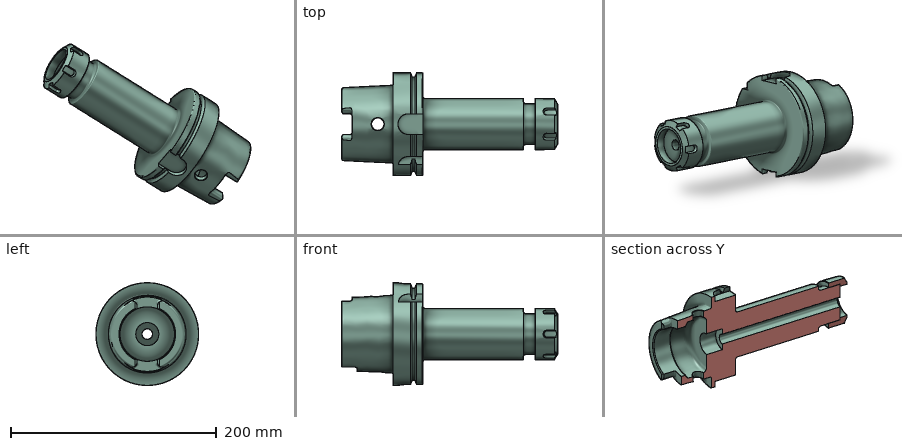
import cadquery as cq
import math

total_length = 210.0
flange_face = 50.0
flange_end = 79.0
shank_end = 176.6
nut_start = 187.7
neck_end = 201.5

taper_tip_radius = 35.5
taper_base_radius = 37.8
taper_end = 47.7
tip_round = 2.0
root_fillet = 1.0

mouth_diameter = 53.0
mouth_chamfer = 1.0
mouth_length = 19.7
undercut_diameter = 61.3
undercut_slope_length = 3.0
cavity_floor_diameter = 50.0
cavity_depth = 44.5
coolant_bore_diameter = 22.5
coolant_bore_depth = 63.0
through_bore_diameter = 10.0

access_hole_diameter = 12.0
access_hole_x = 35.0
access_hole_chamfer = 0.5

slot_width = 20.0
slot_shoulder_height = 32.1
slot_shoulder_radius = 4.6
slot_floor_fillet = 2.0
slot_depth_above = 10.0
slot_depth_below = 15.0
slot_tip_bevel_width = 1.9
slot_tip_bevel_length = 1.5

flange_diameter = 100.0
flange_edge_round = 1.0
groove_floor_radius = 46.0
groove_left = 66.8
groove_right = 72.9
groove_bevel_width = 1.0
groove_bevel_depth = 2.0
groove_floor_inset = 1.7

keyway_center_x = 64.7
keyway_floor_height = 44.0
notch_floor_height = 31.0
notch_wall_y = -31.5

shank_diameter = 50.0
shank_end_round = 0.6
shank_root_fillet = 2.3
neck_diameter = 40.0
neck_root_fillet = 2.0

nut_diameter = 50.0
nut_rear_chamfer = 0.5
nut_cone_start = 206.6
nut_face_diameter = 38.6
nut_mouth_diameter = 33.8
wrench_slot_count = 6
wrench_slot_start = 195.7
wrench_slot_width = 7.8
wrench_slot_floor_radius = 21.8
wrench_slot_draft = 16.0

flange_radius = flange_diameter / 2
shank_radius = shank_diameter / 2
neck_radius = neck_diameter / 2
mouth_radius = mouth_diameter / 2
nut_radius = nut_diameter / 2


def revolve_about_x(profile):
    return profile.close().revolve(360, (0, 0, 0), (1, 0, 0))


def cylinder_along_x(diameter, start, end):
    return cq.Workplane("YZ", origin=(start, 0, 0)).circle(diameter / 2).extrude(end - start)


def round_corner(profile, start, end, center):
    """Add a quarter round from start to end about the given center."""
    radius = math.dist(start, center)
    half_x = (start[0] + end[0]) / 2 - center[0]
    half_r = (start[1] + end[1]) / 2 - center[1]
    stretch = radius / math.hypot(half_x, half_r)
    middle = (center[0] + half_x * stretch, center[1] + half_r * stretch)
    return profile.lineTo(*start).threePointArc(middle, end)


def taper_blank():
    body = revolve_about_x(
        cq.Workplane("XY")
        .moveTo(0, 0)
        .lineTo(0, taper_tip_radius)
        .lineTo(taper_end, taper_base_radius)
        .lineTo(flange_face, taper_base_radius)
        .lineTo(flange_face, 0)
    )
    return body.faces("<X").edges().fillet(tip_round)


def flange_blank():
    bevel_radius = flange_radius - groove_bevel_depth
    root_start = flange_face - root_fillet
    root_radius = taper_base_radius + root_fillet
    profile = cq.Workplane("XY").moveTo(root_start, 0)
    profile = round_corner(
        profile,
        start=(root_start, taper_base_radius),
        end=(flange_face, root_radius),
        center=(root_start, root_radius),
    )
    profile = (
        profile
        .lineTo(flange_face, flange_radius)
        .lineTo(groove_left, flange_radius)
        .lineTo(groove_left + groove_bevel_width, bevel_radius)
        .lineTo(groove_left + groove_floor_inset, groove_floor_radius)
        .lineTo(groove_right - groove_floor_inset, groove_floor_radius)
        .lineTo(groove_right - groove_bevel_width, bevel_radius)
        .lineTo(groove_right, flange_radius)
    )
    edge_start = flange_end - flange_edge_round
    edge_radius = flange_radius - flange_edge_round
    profile = round_corner(
        profile,
        start=(edge_start, flange_radius),
        end=(flange_end, edge_radius),
        center=(edge_start, edge_radius),
    )
    return revolve_about_x(profile.lineTo(flange_end, 0))


def shank_blank():
    root_end = flange_end + shank_root_fillet
    root_radius = shank_radius + shank_root_fillet
    profile = cq.Workplane("XY").moveTo(flange_end, 0)
    profile = round_corner(
        profile,
        start=(flange_end, root_radius),
        end=(root_end, shank_radius),
        center=(root_end, root_radius),
    )
    round_start = shank_end - shank_end_round
    round_radius = shank_radius - shank_end_round
    profile = round_corner(
        profile,
        start=(round_start, shank_radius),
        end=(shank_end, round_radius),
        center=(round_start, round_radius),
    )
    neck_start = shank_end + neck_root_fillet
    neck_root_radius = neck_radius + neck_root_fillet
    profile = round_corner(
        profile,
        start=(shank_end, neck_root_radius),
        end=(neck_start, neck_radius),
        center=(neck_start, neck_root_radius),
    )
    return revolve_about_x(profile.lineTo(neck_end, neck_radius).lineTo(neck_end, 0))


def cavity_cutter():
    undercut_radius = undercut_diameter / 2
    floor_radius = cavity_floor_diameter / 2
    floor_round_start = cavity_depth - (undercut_radius - floor_radius)
    profile = (
        cq.Workplane("XY")
        .moveTo(0, 0)
        .lineTo(0, mouth_radius + mouth_chamfer)
        .lineTo(mouth_chamfer, mouth_radius)
        .lineTo(mouth_length, mouth_radius)
        .lineTo(mouth_length + undercut_slope_length, undercut_radius)
    )
    profile = round_corner(
        profile,
        start=(floor_round_start, undercut_radius),
        end=(cavity_depth, floor_radius),
        center=(floor_round_start, floor_radius),
    )
    cavity = revolve_about_x(profile.lineTo(cavity_depth, 0))
    coolant_bore = cylinder_along_x(coolant_bore_diameter, 0, coolant_bore_depth)
    through_bore = cylinder_along_x(through_bore_diameter, 0, total_length)
    return cavity.union(coolant_bore).union(through_bore)


def cut_access_hole(body):
    """Drill through both walls of the taper along Z and chamfer the two outer rims."""
    drill = (
        cq.Workplane("XY", origin=(access_hole_x, 0, -flange_radius))
        .circle(access_hole_diameter / 2)
        .extrude(flange_diameter)
    )
    body = body.cut(drill)
    half_box = access_hole_diameter / 4
    wall_inside = undercut_diameter / 2
    upper_rim = cq.selectors.BoxSelector(
        (access_hole_x - half_box, -half_box, wall_inside + access_hole_chamfer),
        (access_hole_x + half_box, half_box, flange_radius),
    )
    lower_rim = cq.selectors.BoxSelector(
        (access_hole_x - half_box, -half_box, -flange_radius),
        (access_hole_x + half_box, half_box, -wall_inside - access_hole_chamfer),
    )
    return body.edges(upper_rim + lower_rim).chamfer(access_hole_chamfer)


def drive_slot_cutter(depth):
    """Slot on the +Z side: straight walls that round over into flat shoulders, and a filleted floor."""
    half_width = slot_width / 2
    shoulder_start = half_width + slot_shoulder_radius
    wall_top = slot_shoulder_height - slot_shoulder_radius
    arc_offset = slot_shoulder_radius * (1 - math.sqrt(0.5))
    arc_y = half_width + arc_offset
    arc_z = slot_shoulder_height - arc_offset
    bottom = mouth_radius / 2
    slot = (
        cq.Workplane("YZ")
        .moveTo(-half_width, bottom)
        .lineTo(half_width, bottom)
        .lineTo(half_width, wall_top)
        .threePointArc((arc_y, arc_z), (shoulder_start, slot_shoulder_height))
        .lineTo(flange_radius, slot_shoulder_height)
        .lineTo(flange_radius, flange_radius)
        .lineTo(-flange_radius, flange_radius)
        .lineTo(-flange_radius, slot_shoulder_height)
        .lineTo(-shoulder_start, slot_shoulder_height)
        .threePointArc((-arc_y, arc_z), (-half_width, wall_top))
        .close()
        .extrude(depth)
        .faces(">X").edges().fillet(slot_floor_fillet)
    )
    bevel = (
        cq.Workplane("XY", origin=(0, 0, bottom))
        .moveTo(0, -half_width - slot_tip_bevel_width)
        .lineTo(0, half_width + slot_tip_bevel_width)
        .lineTo(slot_tip_bevel_length, half_width)
        .lineTo(slot_tip_bevel_length, -half_width)
        .close()
        .extrude(slot_shoulder_height - bottom)
    )
    return slot.union(bevel)


def round_ended_cutter(center_y, floor_height):
    """Cutter of the keyway width, round at its -X end and running out through the flange end."""
    length = flange_end - keyway_center_x
    base = cq.Workplane("XY", origin=(keyway_center_x, center_y, floor_height))
    height = flange_radius - floor_height
    round_end = base.circle(slot_width / 2).extrude(height)
    straight = base.center(length / 2, 0).rect(length, slot_width).extrude(height)
    return round_end.union(straight)


def make_holder():
    holder = taper_blank().union(flange_blank()).union(shank_blank())
    holder = cut_access_hole(holder.cut(cavity_cutter()))

    holder = holder.cut(drive_slot_cutter(slot_depth_above))
    holder = holder.cut(drive_slot_cutter(slot_depth_below).rotate((0, 0, 0), (1, 0, 0), 180))

    keyway = round_ended_cutter(0, keyway_floor_height)
    holder = holder.cut(keyway).cut(keyway.rotate((0, 0, 0), (1, 0, 0), 180))
    return holder.cut(round_ended_cutter(notch_wall_y - slot_width / 2, notch_floor_height))


def wrench_slot_cutter(angle):
    """Drafted slot, round at its -X end, turned about X from the -Y side."""
    depth = nut_radius - wrench_slot_floor_radius
    length = total_length - wrench_slot_start + wrench_slot_width
    return (
        cq.Workplane("XZ", origin=(wrench_slot_start + length / 2, -nut_radius, 0))
        .slot2D(length, wrench_slot_width)
        .extrude(-depth, taper=wrench_slot_draft)
        .rotate((0, 0, 0), (1, 0, 0), angle)
    )


def make_nut():
    nut = revolve_about_x(
        cq.Workplane("XY")
        .moveTo(nut_start, neck_radius)
        .lineTo(nut_start, nut_radius - nut_rear_chamfer)
        .lineTo(nut_start + nut_rear_chamfer, nut_radius)
        .lineTo(nut_cone_start, nut_radius)
        .lineTo(total_length, nut_face_diameter / 2)
        .lineTo(total_length, nut_mouth_diameter / 2)
        .lineTo(neck_end, nut_mouth_diameter / 2)
        .lineTo(neck_end, neck_radius)
    )
    for index in range(wrench_slot_count):
        nut = nut.cut(wrench_slot_cutter(index * 360 / wrench_slot_count))
    return nut


holder = make_holder()
nut = make_nut()
result = cq.Compound.makeCompound([holder.solids().val(), nut.solids().val()])